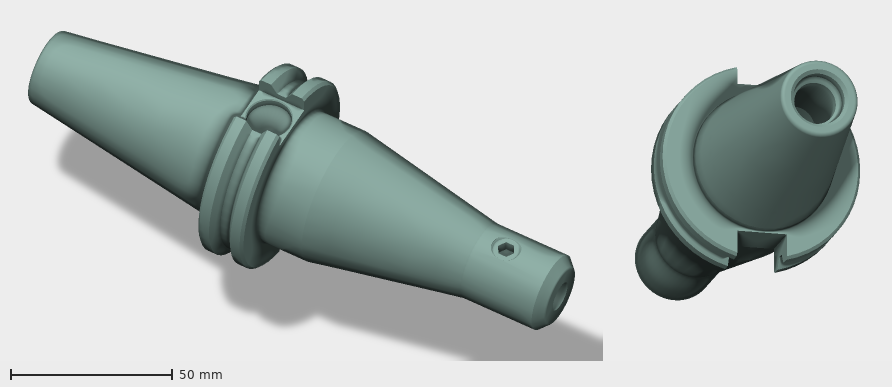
import cadquery as cq
import math

total_length = 182.5

body_radius = 44.4 / 2
taper_end_x = 68.3
taper_slope = 7 / 48
small_end_radius = body_radius - taper_slope * taper_end_x
small_end_fillet = 1.3

flange_radius = 63.3 / 2
flange_start_x = 71.2
flange_end_x = 87.3
flange_mid_x = (flange_start_x + flange_end_x) / 2
flange_chamfer = 1.0
rear_root_fillet = 0.4
front_root_fillet = 0.7
groove_depth = 3.3
groove_top_width = 7.5
groove_floor_width = 3.1

body_end_x = 103.1
nose_start_x = 154.3
nose_radius = 25.4 / 2
nose_chamfer = 3.1
nose_face_fillet = 1.1

slot_width = 15.9
upper_slot_floor_z = 25.0
lower_slot_floor_z = -22.6

recess_radius = 14.2 / 2
recess_chamfer = 0.4
recess_depth = 2.7
recess_cone_depth = 3.1

bore_radius = 9.5 / 2
thread_radius = 13.3 / 2
counterbore_radius = 16.5 / 2
bore_mouth_radius = 9.3
counterbore_depth = 4.4
thread_depth = 32.0

screw_x = 163.4
screw_radius = 8.4 / 2
screw_hole_mouth_radius = 9.5 / 2
screw_top_z = 11.9
screw_hole_chamfer_z = 11.9
socket_flats = 5.0
socket_depth = 3.7


def revolve_about_x(points):
    """Turn a closed (x, radius) outline into a solid about the X axis."""
    return cq.Workplane("XY").polyline(points).close().revolve(360, (0, 0, 0), (1, 0, 0))


def revolve_about_z(points, x):
    """Turn a closed (radius, z) outline into a solid about a vertical axis at x."""
    solid = cq.Workplane("XZ").polyline(points).close().revolve(360, (0, 0, 0), (0, 1, 0))
    return solid.translate((x, 0, 0))


def turned_shank_and_nose():
    shaft = revolve_about_x([
        (0, 0),
        (0, small_end_radius),
        (taper_end_x, body_radius),
        (body_end_x, body_radius),
        (nose_start_x, nose_radius),
        (total_length - nose_chamfer, nose_radius),
        (total_length, nose_radius - nose_chamfer),
        (total_length, 0),
    ])
    shaft = shaft.faces("<X").edges().fillet(small_end_fillet)
    return shaft.faces(">X").edges().fillet(nose_face_fillet)


def flange():
    groove_floor_radius = flange_radius - groove_depth
    face_radius = flange_radius - flange_chamfer
    outline = (
        cq.Workplane("XY")
        .moveTo(flange_start_x - rear_root_fillet, 0)
        .lineTo(flange_start_x - rear_root_fillet, body_radius)
        .radiusArc((flange_start_x, body_radius + rear_root_fillet), -rear_root_fillet)
        .lineTo(flange_start_x, face_radius)
        .lineTo(flange_start_x + flange_chamfer, flange_radius)
        .lineTo(flange_mid_x - groove_top_width / 2, flange_radius)
        .lineTo(flange_mid_x - groove_floor_width / 2, groove_floor_radius)
        .lineTo(flange_mid_x + groove_floor_width / 2, groove_floor_radius)
        .lineTo(flange_mid_x + groove_top_width / 2, flange_radius)
        .lineTo(flange_end_x - flange_chamfer, flange_radius)
        .lineTo(flange_end_x, face_radius)
        .lineTo(flange_end_x, body_radius + front_root_fillet)
        .radiusArc((flange_end_x + front_root_fillet, body_radius), -front_root_fillet)
        .lineTo(flange_end_x + front_root_fillet, 0)
        .close()
    )
    return outline.revolve(360, (0, 0, 0), (1, 0, 0))


def drive_slot(floor_z):
    """Cutter from the slot floor outwards past the flange rim."""
    rim_z = math.copysign(flange_radius, floor_z)
    length = flange_end_x - flange_start_x + 2 * front_root_fillet
    cutter = cq.Workplane("XY").box(length, slot_width, abs(rim_z - floor_z))
    return cutter.translate((flange_mid_x, 0, (rim_z + floor_z) / 2))


def slot_recess():
    floor_z = upper_slot_floor_z
    cone_start_z = floor_z - recess_depth
    return revolve_about_z([
        (0, floor_z),
        (recess_radius + recess_chamfer, floor_z),
        (recess_radius, floor_z - recess_chamfer),
        (recess_radius, cone_start_z),
        (0, cone_start_z - recess_cone_depth),
    ], flange_mid_x)


def axial_bore():
    """Cutter for the through bore; every step is a 45 degree cone."""
    thread_start_x = counterbore_depth + counterbore_radius - thread_radius
    return revolve_about_x([
        (0, 0),
        (0, bore_mouth_radius),
        (bore_mouth_radius - counterbore_radius, counterbore_radius),
        (counterbore_depth, counterbore_radius),
        (thread_start_x, thread_radius),
        (thread_depth, thread_radius),
        (thread_depth + thread_radius - bore_radius, bore_radius),
        (total_length, bore_radius),
        (total_length, 0),
    ])


def screw_hole():
    """Cutter from the bore axis up, with a 45 degree countersink at the top."""
    countersink_z = screw_hole_chamfer_z + screw_hole_mouth_radius - screw_radius
    return revolve_about_z([
        (0, 0),
        (screw_radius, 0),
        (screw_radius, screw_hole_chamfer_z),
        (screw_hole_mouth_radius, countersink_z),
        (screw_hole_mouth_radius, nose_radius),
        (0, nose_radius),
    ], screw_x)


def make_holder():
    holder = turned_shank_and_nose().union(flange())
    for floor_z in (upper_slot_floor_z, lower_slot_floor_z):
        holder = holder.cut(drive_slot(floor_z))
    for cutter in (slot_recess(), axial_bore(), screw_hole()):
        holder = holder.cut(cutter)
    return holder


def make_clamp_screw():
    """Headless screw ending at the bore wall, with a hexagon socket."""
    screw_length = screw_top_z - bore_radius
    socket_corners = socket_flats / math.cos(math.pi / 6)
    top = cq.Workplane("XY", origin=(screw_x, 0, screw_top_z))
    screw = top.circle(screw_radius).extrude(-screw_length)
    return screw.cut(top.polygon(6, socket_corners).extrude(-socket_depth))


holder = make_holder()
clamp_screw = make_clamp_screw()

result = cq.Compound.makeCompound([*holder.solids().vals(), *clamp_screw.solids().vals()])